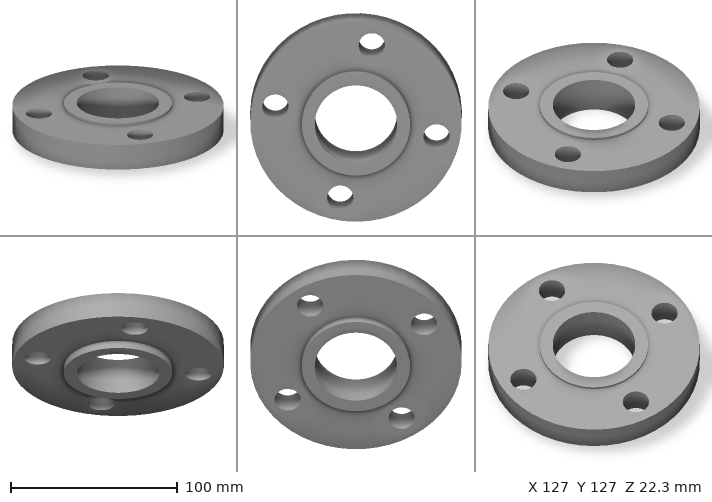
import cadquery as cq

flange_diameter = 127.0
flange_thickness = 16.0

hub_diameter = 65.0
hub_rise_above = 1.5
hub_drop_below = 4.8
hub_height = hub_drop_below + flange_thickness + hub_rise_above
bore_diameter = 49.5

bolt_hole_count = 4
bolt_hole_diameter = 15.7
bolt_circle_diameter = 98.5
first_bolt_angle = 45.0

hub = cq.Workplane("XY").circle(hub_diameter / 2).extrude(hub_height)

flange = (
    cq.Workplane("XY")
    .workplane(offset=hub_drop_below)
    .circle(flange_diameter / 2)
    .extrude(flange_thickness)
)

bore = cq.Workplane("XY").circle(bore_diameter / 2).extrude(hub_height)

bolt_holes = (
    cq.Workplane("XY")
    .polarArray(bolt_circle_diameter / 2, first_bolt_angle, 360, bolt_hole_count)
    .circle(bolt_hole_diameter / 2)
    .extrude(hub_height)
)

result = flange.union(hub).cut(bore).cut(bolt_holes)